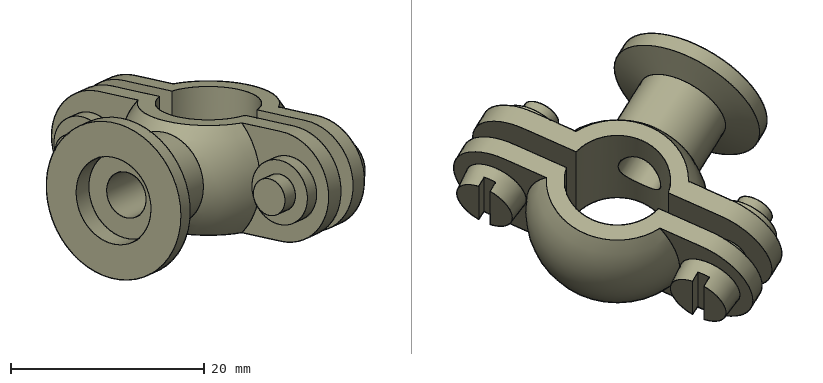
import cadquery as cq

ball_radius = 9.5
bore_radius = 5.5
clamp_height = 11.97

total_length = 35.0
upper_lug_inner = 1.1
upper_lug_outer = 3.15
lower_lug_inner = -1.1
lower_lug_outer = -3.32

neck_radius = 5.0
neck_end = -14.52
flange_radius = 8.5
flange_back = -15.45
flange_face = -17.1
passage_radius = 2.5
counterbore_radius = 4.72
counterbore_depth = 2.3

boss_radius = 3.5
boss_end = -5.0

screw_spacing = 25.0
shank_radius = 2.0
shank_end = -6.9
head_base_radius = 3.5
head_top_radius = 3.25
head_top = 5.78
slot_width = 1.33
slot_depth = 1.2


def cylinder_y(radius, start, end):
    """Cylinder on the Y axis between two Y positions."""
    low = min(start, end)
    direction = cq.Vector(0, 1, 0)
    solid = cq.Solid.makeCylinder(radius, abs(end - start), cq.Vector(0, low, 0), direction)
    return cq.Workplane(obj=solid)


def slab(inner, outer):
    """Round-ended lug plate spanning both sides of the bore."""
    return (
        cq.Workplane("XZ", origin=(0, inner, 0))
        .slot2D(total_length, clamp_height)
        .extrude(inner - outer)
    )


def clamp_half(inner, outer):
    """Half ball with flat ends joined to its lug plate; the bore is still uncut."""
    side = 1 if outer > 0 else -1
    half_space = cq.Workplane().box(total_length, ball_radius, clamp_height).translate(
        (0, inner + side * ball_radius / 2, 0)
    )
    half_ball = cq.Workplane().sphere(ball_radius).intersect(half_space)
    return half_ball.union(slab(inner, outer))


def cut_bore_and_screw_holes(body):
    """Cut the pipe bore along Z and both screw holes along Y."""
    bore = cq.Workplane().circle(bore_radius).extrude(clamp_height, both=True)
    body = body.cut(bore)
    for side in (-1, 1):
        hole = cylinder_y(shank_radius, boss_end, upper_lug_outer)
        body = body.cut(hole.translate((side * screw_spacing / 2, 0, 0)))
    return body


def make_upper_clamp():
    return cut_bore_and_screw_holes(clamp_half(upper_lug_inner, upper_lug_outer))


def make_lower_clamp():
    """Lower half with screw bosses, a hollow neck and a cone-backed flange."""
    neck_and_flange = (
        cq.Workplane("XY")
        .moveTo(0, lower_lug_inner)
        .lineTo(neck_radius, lower_lug_inner)
        .lineTo(neck_radius, neck_end)
        .lineTo(flange_radius, flange_back)
        .lineTo(flange_radius, flange_face)
        .lineTo(0, flange_face)
        .close()
        .revolve(360, (0, 0, 0), (0, 1, 0))
    )
    body = clamp_half(lower_lug_inner, lower_lug_outer).union(neck_and_flange)
    for side in (-1, 1):
        boss = cylinder_y(boss_radius, lower_lug_inner, boss_end)
        body = body.union(boss.translate((side * screw_spacing / 2, 0, 0)))
    body = cut_bore_and_screw_holes(body)
    body = body.cut(cylinder_y(passage_radius, flange_face, lower_lug_inner))
    return body.cut(cylinder_y(counterbore_radius, flange_face, flange_face + counterbore_depth))


def make_screw(x):
    """Screw with a slotted, tapered head and a plain shank through both lugs."""
    profile = (
        cq.Workplane("XY")
        .moveTo(0, shank_end)
        .lineTo(shank_radius, shank_end)
        .lineTo(shank_radius, upper_lug_outer)
        .lineTo(head_base_radius, upper_lug_outer)
        .lineTo(head_top_radius, head_top)
        .lineTo(0, head_top)
        .close()
    )
    screw = profile.revolve(360, (0, 0, 0), (0, 1, 0))
    slot = cq.Workplane().box(slot_width, 2 * slot_depth, 2 * head_base_radius)
    return screw.cut(slot.translate((0, head_top, 0))).translate((x, 0, 0))


upper_clamp = make_upper_clamp()
lower_clamp = make_lower_clamp()
screws = [make_screw(side * screw_spacing / 2) for side in (-1, 1)]

result = cq.Compound.makeCompound(
    [upper_clamp.val(), lower_clamp.val(), *[screw.val() for screw in screws]]
)